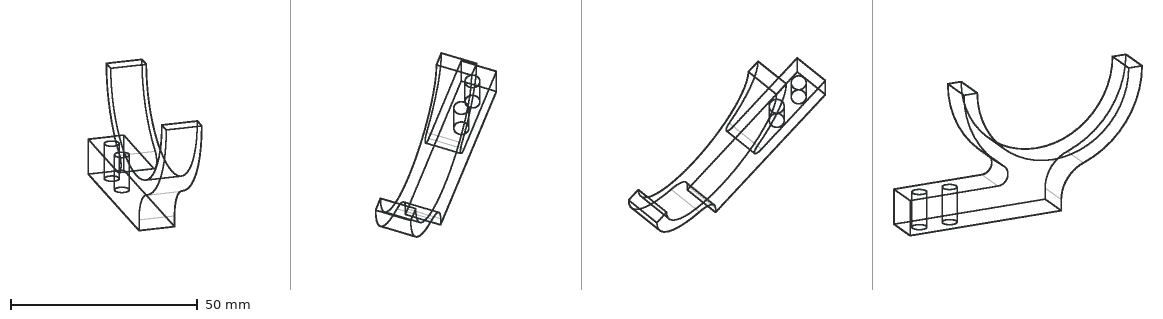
import cadquery as cq
import math

total_length = 69.0
total_height = 37.5
width = 10.0
base_length = 45.0
base_height = 10.0
outer_radius = 26.5
inner_radius = 22.5
left_fillet = 3.0
right_fillet = 10.0
hole_diameter = 4.0
first_hole_x = 5.2
hole_spacing = 9.0
hole_count = 2

ring_x = total_length - outer_radius
ring_z = total_height
ring_center = (ring_x, ring_z)


def arc_point(center, radius, angle):
    """Point on a circle in the XZ plane; angle in radians from +X."""
    return (center[0] + radius * math.cos(angle), center[1] + radius * math.sin(angle))


left_z = base_height + left_fillet
left_reach = outer_radius + left_fillet
left_x = ring_x - math.sqrt(left_reach**2 - (ring_z - left_z) ** 2)
left_center = (left_x, left_z)
left_angle = math.atan2(ring_z - left_z, ring_x - left_x)
left_tangent = arc_point(left_center, left_fillet, left_angle)
left_middle = arc_point(left_center, left_fillet, (left_angle - math.pi / 2) / 2)

right_x = base_length + right_fillet
right_reach = outer_radius + right_fillet
right_z = ring_z - math.sqrt(right_reach**2 - (right_x - ring_x) ** 2)
right_center = (right_x, right_z)
right_angle = math.atan2(ring_z - right_z, ring_x - right_x)
right_tangent = arc_point(right_center, right_fillet, right_angle)
right_middle = arc_point(right_center, right_fillet, (right_angle + math.pi) / 2)

outer_right_middle = arc_point(ring_center, outer_radius, (right_angle - math.pi) / 2)
outer_left_middle = arc_point(ring_center, outer_radius, math.pi + left_angle / 2)

body = (
    cq.Workplane("XZ")
    .moveTo(0, 0)
    .lineTo(base_length, 0)
    .lineTo(base_length, right_z)
    .threePointArc(right_middle, right_tangent)
    .threePointArc(outer_right_middle, (ring_x + outer_radius, ring_z))
    .lineTo(ring_x + inner_radius, ring_z)
    .threePointArc((ring_x, ring_z - inner_radius), (ring_x - inner_radius, ring_z))
    .lineTo(ring_x - outer_radius, ring_z)
    .threePointArc(outer_left_middle, left_tangent)
    .threePointArc(left_middle, (left_x, base_height))
    .lineTo(0, base_height)
    .close()
    .extrude(width / 2, both=True)
)

hole_centers = [(first_hole_x + i * hole_spacing, 0) for i in range(hole_count)]
holes = (
    cq.Workplane("XY")
    .pushPoints(hole_centers)
    .circle(hole_diameter / 2)
    .extrude(base_height)
)

result = body.cut(holes)